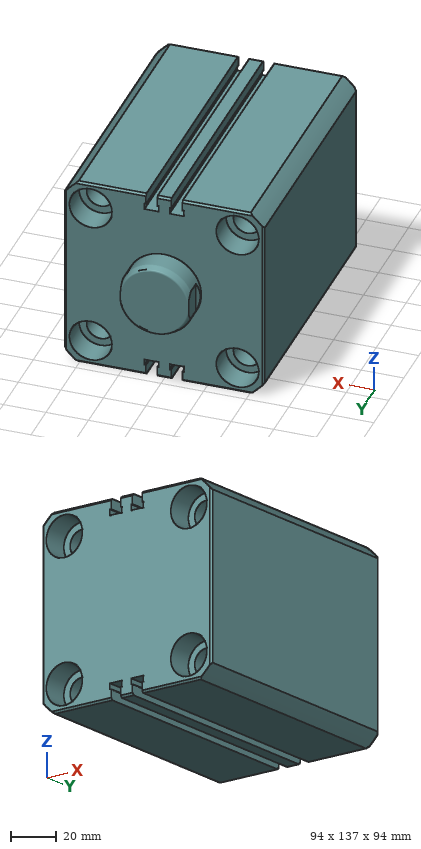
import cadquery as cq
import math

side = 94.0
housing_length = 124.0
turned_radius = 62.0
end_chamfer = 1.0

bolt_spacing = 69.0
bolt_diameter = 13.0
counterbore_diameter = 20.0
counterbore_depth = 13.0

slot_spacing = 11.8
slot_mouth_width = 5.3
slot_base_width = 6.7
slot_mouth_depth = 5.0
slot_depth = 7.8

rod_diameter = 35.0
rod_length = 13.0
taper_length = 3.1
taper_angle = 22.0
taper_blend = 1.0
across_flats = 32.0
flat_length = 10.0


def y_cylinder(diameter, start, length, x=0.0, z=0.0):
    """Round bar along +Y, starting at y = start."""
    base = cq.Vector(x, start, z)
    return cq.Workplane(cq.Solid.makeCylinder(diameter / 2, length, base, cq.Vector(0, 1, 0)))


def make_block():
    """Square block with chamfered ends, its corners rounded about the Y axis."""
    block = cq.Workplane("XY").box(side, housing_length, side, centered=(True, False, True))
    block = block.faces("<Y or >Y").edges().chamfer(end_chamfer)
    return block.intersect(y_cylinder(2 * turned_radius, 0, housing_length))


def make_bolt_hole(x, z):
    """Through hole with a counterbore at each end."""
    hole = y_cylinder(bolt_diameter, 0, housing_length, x, z)
    for start in (0, housing_length - counterbore_depth):
        hole = hole.union(y_cylinder(counterbore_diameter, start, counterbore_depth, x, z))
    return hole


def make_slot(x, face_sign):
    """T-slot along Y: a wide base under a narrower mouth, open on the top (+1) or bottom (-1) face."""
    base_height = slot_depth - slot_mouth_depth
    base_z = face_sign * (side / 2 - slot_depth + base_height / 2)
    mouth_z = face_sign * (side / 2 - slot_depth / 2)
    middle = housing_length / 2
    base = cq.Workplane("XY").box(slot_base_width, housing_length, base_height)
    mouth = cq.Workplane("XY").box(slot_mouth_width, housing_length, slot_depth)
    return base.translate((x, middle, base_z)).union(mouth.translate((x, middle, mouth_z)))


def make_housing():
    """Block with its four bolt holes and four T-slots."""
    housing = make_block()
    for x_sign in (-1, 1):
        for z_sign in (-1, 1):
            housing = housing.cut(make_bolt_hole(x_sign * bolt_spacing / 2, z_sign * bolt_spacing / 2))
            housing = housing.cut(make_slot(x_sign * slot_spacing / 2, z_sign))
    return housing


def make_rod():
    """Rod standing on the +Y end of the housing."""
    radius = rod_diameter / 2
    tip_radius = radius - taper_length * math.tan(math.radians(taper_angle))
    rod = (
        cq.Workplane("XY")
        .moveTo(0, 0)
        .lineTo(radius, 0)
        .lineTo(radius, rod_length - taper_length)
        .lineTo(tip_radius, rod_length)
        .lineTo(0, rod_length)
        .close()
        .revolve(360, (0, 0, 0), (0, 1, 0))
    )
    rod = rod.edges("%CIRCLE").edges("not <Y").fillet(taper_blend)
    flat_x = across_flats / 2
    ramp = radius - flat_x
    flat_start = rod_length - flat_length
    flat_cut = (
        cq.Workplane("XY")
        .moveTo(flat_x, rod_length)
        .lineTo(flat_x, flat_start)
        .lineTo(radius, flat_start - ramp)
        .lineTo(radius, rod_length)
        .close()
        .extrude(radius, both=True)
    )
    rod = rod.cut(flat_cut).cut(flat_cut.mirror("YZ"))
    return rod.translate((0, housing_length, 0))


housing = make_housing()
rod = make_rod()
result = cq.Compound.makeCompound([housing.val(), rod.val()])